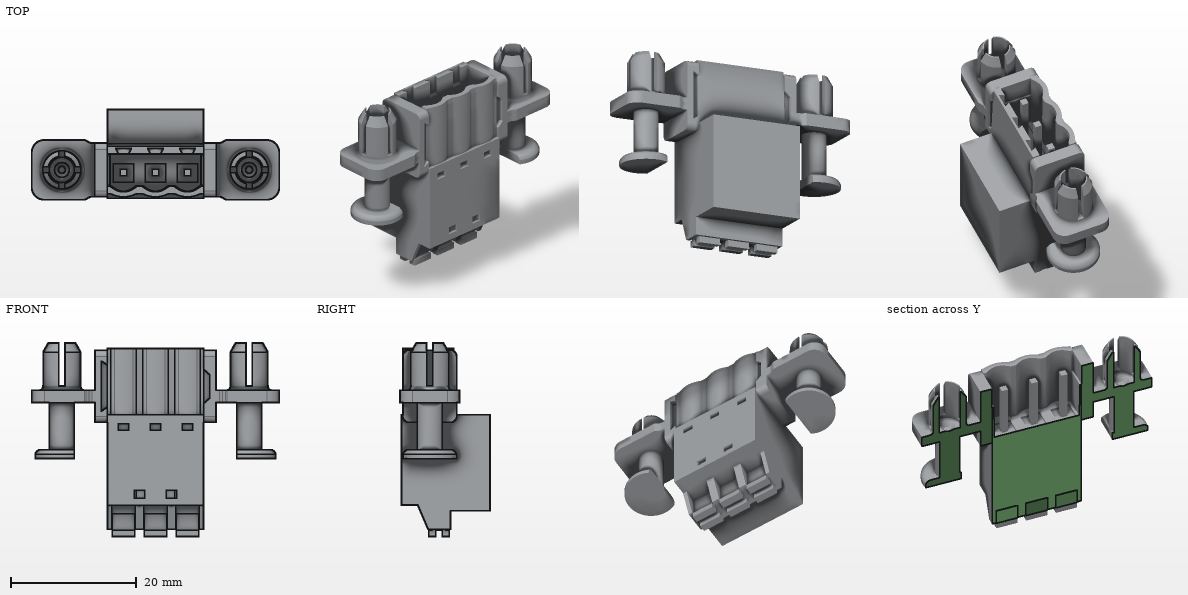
import cadquery as cq
import math


pole_pitch = 5.1
pole_centres = [-pole_pitch, 0, pole_pitch]

housing_half_width = 7.65
box_front = -4.55
box_back = 9.62
box_front_bottom = -14.4
box_back_bottom = -15.35
nose_back = 3.3
nose_bottom = -18.25
nose_slope_top = -1.95
nose_slope_bottom = -0.28

shroud_top = 10.55
shroud_back_top = 3.8
shroud_back_base = 4.2
side_wall_top = 6.35
cavity_back = 2.6
cavity_half_width = 7.35
cavity_draft_angle = 1.0

lobe_arc_half_width = 1.5
outer_crest = -3.83
outer_trough = -4.3
outer_crest_start = 2.05
inner_crest = -2.65
inner_trough = -3.5
inner_crest_start = 2.1

coding_slot_floor = 7.57
coding_slot_back = 3.45
coding_slot_back_half = 1.25
coding_slot_mouth_half = 0.83

window_width = 1.75
upper_window_bottom = -2.52
upper_window_height = 1.1
upper_window_depth = 0.95
lower_window_bottom = -13.3
lower_window_height = 1.22
lower_window_depth = 0.55
lower_window_lean = 0.3

pin_size = 1.05
pin_y = -0.45
pin_top = 8.35
pin_bottom = -3.95
pin_recess_width = 3.3
pin_recess_length = 2.9
pin_recess_y = -0.47
pin_recess_depth = 0.4

lever_half_width = 1.8
lever_slot_half_width = 1.9
lever_top = -15.78
lever_foot_top = -18.38
lever_bottom = -19.4
lever_front = -0.2
lever_back = 3.1
lever_foot_ledge = 0.55
lever_gap_front = 1.0
lever_gap_back = 1.97
lever_core_front = lever_front + lever_foot_ledge
lever_core_back = lever_back - lever_foot_ledge

flange_end = 19.72
flange_axis = 14.9
plate_top = 3.9
plate_thickness = 2.0
plate_half_width = 4.77
plate_corner_radius = 2.0
neck_start = 11.25
neck_end = 10.4
neck_start_radius = 0.45
neck_end_radius = 0.95

cheek_thickness = 2.0
cheek_half_width = 4.3
cheek_top = 10.25
cheek_bottom = -1.22
cheek_radius = 1.0
cheek_outer = housing_half_width + cheek_thickness

groove_depth = 0.95
wide_groove_length = 1.0
wide_groove_outer = (0.55, 8.5)
wide_groove_inner = (1.22, 7.9)
narrow_groove_length = 0.8
narrow_groove_outer = (2.6, 6.35)
narrow_groove_inner = (1.75, 7.25)

peg_radius = 3.05
peg_tip_radius = 2.2
peg_top = 11.45
peg_cone_start = 9.95
peg_root_fillet = 0.5
peg_slot_width = 1.0
peg_slot_floor = 4.58
shaft_radius = 2.0
dimple_radius = 1.2
dimple_floor_radius = 0.55
dimple_depth = 0.65

foot_radius = 4.25
foot_top = -5.55
foot_bottom = -7.02
foot_top_radius = 3.55
foot_edge = -6.27
foot_edge_bulge = 0.08


def box_between(x_range, y_range, z_range):
    """Box spanning the given (low, high) ranges."""
    lows = [r[0] for r in (x_range, y_range, z_range)]
    sizes = [r[1] - r[0] for r in (x_range, y_range, z_range)]
    return cq.Workplane("XY").box(*sizes, centered=False).translate(tuple(lows))


def scalloped_outline(z, back, half_width, crest, trough, crest_start):
    """Outline at height z: straight back and sides, one outward lobe per pole at the front."""
    flank_slope = (crest - trough) / (crest_start - lobe_arc_half_width / 2)
    arc_end = trough + flank_slope * lobe_arc_half_width / 2
    outline = cq.Workplane("XY").workplane(offset=z).moveTo(-half_width, back).lineTo(-half_width, crest)
    for x in pole_centres:
        outline = (
            outline.lineTo(x - crest_start, crest)
            .lineTo(x - lobe_arc_half_width, arc_end)
            .threePointArc((x, trough), (x + lobe_arc_half_width, arc_end))
            .lineTo(x + crest_start, crest)
        )
    return outline.lineTo(half_width, crest).lineTo(half_width, back).close()


def make_box_body():
    """Box with a sloped nose below it, extruded across the full width."""
    return (
        cq.Workplane("YZ")
        .polyline(
            [
                (box_front, 0),
                (box_back, 0),
                (box_back, box_back_bottom),
                (nose_back, box_back_bottom),
                (nose_back, nose_bottom),
                (nose_slope_bottom, nose_bottom),
                (nose_slope_top, box_front_bottom),
                (box_front, box_front_bottom),
            ]
        )
        .close()
        .extrude(housing_half_width, both=True)
    )


def make_shroud():
    """Shroud with a scalloped front and a back face that leans out towards the box."""
    body = scalloped_outline(
        0, shroud_back_base, housing_half_width, outer_crest, outer_trough, outer_crest_start
    ).extrude(shroud_top)
    behind_back = (
        cq.Workplane("YZ")
        .polyline([(shroud_back_base, 0), (shroud_back_base, shroud_top), (shroud_back_top, shroud_top)])
        .close()
        .extrude(housing_half_width, both=True)
    )
    return body.cut(behind_back)


def shroud_cavity():
    """Inner space: drafted between the side walls, straight and open at the sides above them."""
    inner_front = (inner_crest, inner_trough, inner_crest_start)
    drafted = scalloped_outline(side_wall_top, cavity_back, cavity_half_width, *inner_front).extrude(
        -side_wall_top, taper=cavity_draft_angle
    )
    straight = scalloped_outline(side_wall_top, cavity_back, housing_half_width, *inner_front).extrude(
        shroud_top - side_wall_top
    )
    return drafted.union(straight)


def coding_slot(x):
    """Dovetail slot, wide at the back and open to the cavity and the shroud top."""
    return (
        cq.Workplane("XY")
        .workplane(offset=coding_slot_floor)
        .polyline(
            [
                (x - coding_slot_mouth_half, cavity_back),
                (x + coding_slot_mouth_half, cavity_back),
                (x + coding_slot_back_half, coding_slot_back),
                (x - coding_slot_back_half, coding_slot_back),
            ]
        )
        .close()
        .extrude(shroud_top - coding_slot_floor)
    )


def upper_window(x):
    """Rectangular pocket in the front face of the box, above each pole."""
    return box_between(
        (x - window_width / 2, x + window_width / 2),
        (box_front, box_front + upper_window_depth),
        (upper_window_bottom, upper_window_bottom + upper_window_height),
    )


def lower_window(side):
    """Pocket between two poles whose outer wall leans inward; side is -1 (left) or 1 (right)."""
    inner_x = side * (pole_pitch - window_width) / 2
    outer_x = side * (pole_pitch + window_width) / 2
    pocket_back = box_front + lower_window_depth
    return (
        cq.Workplane("XY")
        .workplane(offset=lower_window_bottom)
        .polyline(
            [
                (inner_x, box_front),
                (outer_x, box_front),
                (outer_x - side * lower_window_lean, pocket_back),
                (inner_x, pocket_back),
            ]
        )
        .close()
        .extrude(lower_window_height)
    )


def pin_recess(x):
    """Shallow rectangular recess in the cavity floor around a contact pin."""
    return box_between(
        (x - pin_recess_width / 2, x + pin_recess_width / 2),
        (pin_recess_y - pin_recess_length / 2, pin_recess_y + pin_recess_length / 2),
        (-pin_recess_depth, 0),
    )


def lever_opening(x):
    """Slot through the nose slope, with a matching hole for the lever core behind it."""
    slot = box_between(
        (x - lever_slot_half_width, x + lever_slot_half_width),
        (nose_slope_top, lever_core_front),
        (nose_bottom, box_front_bottom),
    )
    hole = box_between(
        (x - lever_half_width, x + lever_half_width),
        (lever_core_front, lever_core_back),
        (nose_bottom, lever_top),
    )
    return slot.union(hole)


def make_pin(x):
    """Square contact pin."""
    half = pin_size / 2
    return box_between((x - half, x + half), (pin_y - half, pin_y + half), (pin_bottom, pin_top))


def make_lever(x):
    """Lever core standing on two feet that are wider than the core and separated by a gap."""
    across = (x - lever_half_width, x + lever_half_width)
    core = box_between(across, (lever_core_front, lever_core_back), (lever_foot_top, lever_top))
    foot_height = (lever_bottom, lever_foot_top)
    front_foot = box_between(across, (lever_front, lever_gap_front), foot_height)
    back_foot = box_between(across, (lever_gap_back, lever_back), foot_height)
    return core.union(front_foot).union(back_foot)


def make_housing(pins):
    """Box, shroud and all their openings as one solid."""
    body = make_box_body().union(make_shroud()).cut(shroud_cavity())
    for x in pole_centres:
        body = body.cut(coding_slot(x))
        body = body.cut(pin_recess(x))
        body = body.cut(lever_opening(x))
        body = body.cut(upper_window(x))
    for side in (-1, 1):
        body = body.cut(lower_window(side))
    for pin in pins:
        body = body.cut(pin)
    return body


def make_plate():
    """Mounting plate with rounded outer corners, narrowing to the width of the cheek."""
    half_outline = [
        (-flange_end, plate_half_width),
        (-neck_start, plate_half_width),
        (-neck_end, cheek_half_width),
        (-housing_half_width, cheek_half_width),
    ]
    other_half = [(x, -y) for x, y in reversed(half_outline)]
    plate = (
        cq.Workplane("XY")
        .workplane(offset=plate_top - plate_thickness)
        .polyline(half_outline + other_half)
        .close()
        .extrude(plate_thickness)
    )
    plate = plate.edges("|Z and <X").fillet(plate_corner_radius)
    corner_margin = (neck_start - neck_end) / 4
    for x, radius in ((-neck_start, neck_start_radius), (-neck_end, neck_end_radius)):
        near_x = cq.selectors.BoxSelector(
            (x - corner_margin, -flange_end, 0), (x + corner_margin, flange_end, plate_top)
        )
        plate = plate.edges("|Z").edges(near_x).fillet(radius)
    return plate


def make_cheek():
    """Upright block against the side of the housing, rounded along its four X edges."""
    return box_between(
        (-cheek_outer, -housing_half_width),
        (-cheek_half_width, cheek_half_width),
        (cheek_bottom, cheek_top),
    ).edges("|X").fillet(cheek_radius)


def cheek_groove(outer_z, inner_z, y_start, length):
    """Blind trapezoid groove that opens to the housing side, running along +Y from y_start."""
    outer_x = -housing_half_width - groove_depth
    return (
        cq.Workplane("XZ", origin=(0, y_start, 0))
        .polyline(
            [
                (outer_x, outer_z[0]),
                (outer_x, outer_z[1]),
                (-housing_half_width, inner_z[1]),
                (-housing_half_width, inner_z[0]),
            ]
        )
        .close()
        .extrude(-length)
    )


def make_peg():
    """Snap peg, shaft and foot as one turned shape about the flange axis."""
    root_bend = peg_root_fillet * (1 - math.sqrt(0.5))
    root_arc_middle = (peg_radius + root_bend, plate_top + root_bend)
    foot_arc_middle = (
        (foot_radius + foot_top_radius) / 2 + foot_edge_bulge,
        (foot_edge + foot_top) / 2 + foot_edge_bulge,
    )
    return (
        cq.Workplane("XZ")
        .moveTo(0, foot_bottom)
        .lineTo(foot_radius, foot_bottom)
        .lineTo(foot_radius, foot_edge)
        .threePointArc(foot_arc_middle, (foot_top_radius, foot_top))
        .lineTo(shaft_radius, foot_top)
        .lineTo(shaft_radius, plate_top - plate_thickness)
        .lineTo(peg_radius + peg_root_fillet, plate_top - plate_thickness)
        .lineTo(peg_radius + peg_root_fillet, plate_top)
        .threePointArc(root_arc_middle, (peg_radius, plate_top + peg_root_fillet))
        .lineTo(peg_radius, peg_cone_start)
        .lineTo(peg_tip_radius, peg_top)
        .lineTo(shaft_radius, peg_top)
        .lineTo(shaft_radius, plate_top)
        .lineTo(0, plate_top)
        .close()
        .revolve(360, (0, 0, 0), (0, 1, 0))
        .translate((-flange_axis, 0, 0))
    )


def peg_slots():
    """Two crossing slots that split the peg into four fingers."""
    height = peg_top - peg_slot_floor
    reach = 2 * (peg_radius + peg_root_fillet)
    middle = (-flange_axis, 0, peg_slot_floor + height / 2)
    along_x = cq.Workplane("XY").box(reach, peg_slot_width, height).translate(middle)
    along_y = cq.Workplane("XY").box(peg_slot_width, reach, height).translate(middle)
    return along_x.union(along_y)


def peg_dimple():
    """Conical dimple in the floor of the peg bore."""
    cone = cq.Solid.makeCone(dimple_floor_radius, dimple_radius, dimple_depth)
    return cq.Workplane(obj=cone).translate((-flange_axis, 0, plate_top - dimple_depth))


def foot_flat():
    """Cuts the side of the foot that faces the housing flush with the shaft."""
    flat_x = shaft_radius - flange_axis
    return box_between(
        (flat_x, flat_x + foot_radius), (-foot_radius, foot_radius), (foot_bottom, foot_top)
    )


def make_flange():
    """Left flange: plate, grooved cheek, split snap peg and foot."""
    wide_groove = cheek_groove(
        wide_groove_outer, wide_groove_inner, -cheek_half_width, wide_groove_length
    )
    narrow_groove = cheek_groove(
        narrow_groove_outer,
        narrow_groove_inner,
        cheek_half_width - narrow_groove_length,
        narrow_groove_length,
    )
    flange = make_plate().union(make_cheek()).union(make_peg())
    for opening in (wide_groove, narrow_groove, peg_slots(), peg_dimple(), foot_flat()):
        flange = flange.cut(opening)
    return flange


pins = [make_pin(x) for x in pole_centres]
levers = [make_lever(x) for x in pole_centres]
housing = make_housing(pins)
flanges = [make_flange().rotate((0, 0, 0), (0, 0, 1), angle) for angle in (0, 180)]

result = cq.Compound.makeCompound([body.val() for body in [housing, *pins, *levers, *flanges]])